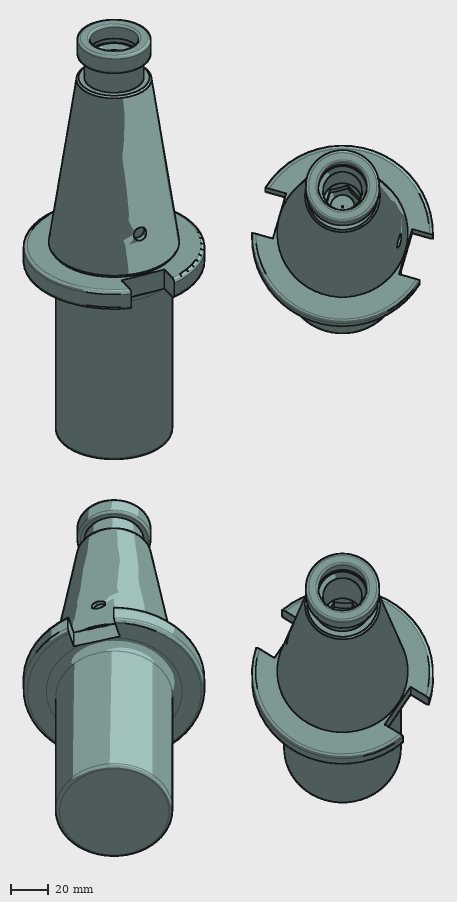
import cadquery as cq
import math


TAIL_TOP = 126.8
BODY_LENGTH = 120.0

GAUGE_DIAMETER = 69.85
TAPER_RATIO = 7 / 24
TAPER_LENGTH = 101.8
TAPER_OVERRUN = 1.5
TAPER_TOP_CHAMFER = 1.0

COLLAR_DIAMETER = 39.6
COLLAR_HEIGHT = 11.2
COLLAR_ROUND = 1.5
NECK_DIAMETER = 32.0

FLANGE_DIAMETER = 97.5
FLANGE_GAP = 3.2
FLANGE_HEIGHT = 12.0
FLANGE_ROUND = 2.0
RECESS_DIAMETER = 68.0

BODY_DIAMETER = 63.0
BODY_FILLET = 5.0
BODY_BOTTOM_ROUND = 2.0

SLOT_WIDTH = 25.7
SLOT_FLOOR_DISTANCE = 35.3

MOUTH_ROUND = 1.3
BORE_DIAMETER = 26.2
BORE_DEPTH = 8.5
UNDERCUT_DIAMETER = 28.0
UNDERCUT_WIDTH = 3.0
THREAD_DIAMETER = 21.0
THREAD_END_DEPTH = 45.0

HEX_ACROSS_FLATS = 17.0
HEX_DEPTH = 12.0
HEX_FLOOR_DIAMETER = 13.0
CENTRE_HOLE_DIAMETER = 1.0
CENTRE_HOLE_DEPTH = 3.0

SIDE_RECESS_DIAMETER = 7.5
SIDE_RECESS_HEIGHT = 20.7
SIDE_RECESS_FLOOR_DISTANCE = 29.0

flange_top = -FLANGE_GAP
flange_bottom = flange_top - FLANGE_HEIGHT
thread_end = TAIL_TOP - THREAD_END_DEPTH
hex_floor = thread_end - HEX_DEPTH

ARC_MID_OFFSET = 1 - 0.5**0.5


def revolve_about_z(profile):
    """Close an outline drawn in the XZ plane and turn it about the Z axis."""
    return profile.close().revolve(360, (0, 0, 0), (0, 1, 0))


def make_shank():
    """Revolve the flange, the recess, the taper, the neck and the collar."""
    gauge_radius = GAUGE_DIAMETER / 2
    taper_top_radius = gauge_radius - TAPER_RATIO * TAPER_LENGTH / 2
    chamfer_start = TAPER_LENGTH - TAPER_TOP_CHAMFER
    chamfer_start_radius = gauge_radius - TAPER_RATIO * chamfer_start / 2
    neck_radius = NECK_DIAMETER / 2
    collar_radius = COLLAR_DIAMETER / 2
    collar_bottom = TAIL_TOP - COLLAR_HEIGHT
    flange_radius = FLANGE_DIAMETER / 2
    recess_radius = RECESS_DIAMETER / 2
    flange_offset = FLANGE_ROUND * ARC_MID_OFFSET
    collar_offset = COLLAR_ROUND * ARC_MID_OFFSET
    profile = (
        cq.Workplane("XZ")
        .moveTo(0, flange_bottom)
        .lineTo(flange_radius - FLANGE_ROUND, flange_bottom)
        .threePointArc(
            (flange_radius - flange_offset, flange_bottom + flange_offset),
            (flange_radius, flange_bottom + FLANGE_ROUND),
        )
        .lineTo(flange_radius, flange_top - FLANGE_ROUND)
        .threePointArc(
            (flange_radius - flange_offset, flange_top - flange_offset),
            (flange_radius - FLANGE_ROUND, flange_top),
        )
        .lineTo(recess_radius, flange_top)
        .lineTo(recess_radius, -TAPER_OVERRUN)
        .lineTo(gauge_radius + TAPER_RATIO * TAPER_OVERRUN / 2, -TAPER_OVERRUN)
        .lineTo(chamfer_start_radius, chamfer_start)
        .lineTo(taper_top_radius - TAPER_TOP_CHAMFER, TAPER_LENGTH)
        .lineTo(neck_radius, TAPER_LENGTH)
        .lineTo(neck_radius, collar_bottom)
        .lineTo(collar_radius - COLLAR_ROUND, collar_bottom)
        .threePointArc(
            (collar_radius - collar_offset, collar_bottom + collar_offset),
            (collar_radius, collar_bottom + COLLAR_ROUND),
        )
        .lineTo(collar_radius, TAIL_TOP - COLLAR_ROUND)
        .threePointArc(
            (collar_radius - collar_offset, TAIL_TOP - collar_offset),
            (collar_radius - COLLAR_ROUND, TAIL_TOP),
        )
        .lineTo(0, TAIL_TOP)
    )
    return revolve_about_z(profile)


def make_body():
    """Revolve the body with its concave fillet under the flange."""
    radius = BODY_DIAMETER / 2
    fillet_offset = BODY_FILLET * ARC_MID_OFFSET
    round_offset = BODY_BOTTOM_ROUND * ARC_MID_OFFSET
    profile = (
        cq.Workplane("XZ")
        .moveTo(0, -BODY_LENGTH)
        .lineTo(radius - BODY_BOTTOM_ROUND, -BODY_LENGTH)
        .threePointArc(
            (radius - round_offset, -BODY_LENGTH + round_offset),
            (radius, -BODY_LENGTH + BODY_BOTTOM_ROUND),
        )
        .lineTo(radius, flange_bottom - BODY_FILLET)
        .threePointArc(
            (radius + fillet_offset, flange_bottom - fillet_offset),
            (radius + BODY_FILLET, flange_bottom),
        )
        .lineTo(0, flange_bottom)
    )
    return revolve_about_z(profile)


def make_slots():
    """Boxes on both sides that cut the driving slots through the flange and its fillet."""
    return (
        cq.Workplane("XY", origin=(0, 0, flange_bottom - BODY_FILLET))
        .pushPoints([(side * (SLOT_FLOOR_DISTANCE + FLANGE_DIAMETER / 2), 0) for side in (-1, 1)])
        .rect(FLANGE_DIAMETER, SLOT_WIDTH)
        .extrude(BODY_FILLET + FLANGE_HEIGHT)
    )


def make_bore():
    """Stepped bore with a rounded mouth, an undercut, a conical seat and a conical end."""
    bore_radius = BORE_DIAMETER / 2
    undercut_radius = UNDERCUT_DIAMETER / 2
    thread_radius = THREAD_DIAMETER / 2
    end_radius = HEX_ACROSS_FLATS / 2
    mouth_offset = MOUTH_ROUND * ARC_MID_OFFSET
    undercut_top = TAIL_TOP - BORE_DEPTH
    seat_top = undercut_top - UNDERCUT_WIDTH
    bore_end = thread_end - (thread_radius - end_radius)
    profile = (
        cq.Workplane("XZ")
        .moveTo(0, TAIL_TOP)
        .lineTo(bore_radius + MOUTH_ROUND, TAIL_TOP)
        .threePointArc(
            (bore_radius + mouth_offset, TAIL_TOP - mouth_offset),
            (bore_radius, TAIL_TOP - MOUTH_ROUND),
        )
        .lineTo(bore_radius, undercut_top)
        .lineTo(undercut_radius, undercut_top)
        .lineTo(undercut_radius, seat_top)
        .lineTo(bore_radius, seat_top)
        .lineTo(thread_radius, seat_top - (bore_radius - thread_radius))
        .lineTo(thread_radius, thread_end)
        .lineTo(end_radius, bore_end)
        .lineTo(0, bore_end)
    )
    return revolve_about_z(profile)


def make_hex_socket():
    """Hexagonal prism narrowed by a cone towards its flat floor, with a small centre hole."""
    corner_diameter = HEX_ACROSS_FLATS / math.cos(math.pi / 6)
    corner_radius = corner_diameter / 2
    floor_radius = HEX_FLOOR_DIAMETER / 2
    prism = (
        cq.Workplane("XY", origin=(0, 0, hex_floor))
        .transformed(rotate=(0, 0, 90))
        .polygon(6, corner_diameter)
        .extrude(HEX_DEPTH)
    )
    cone_profile = (
        cq.Workplane("XZ")
        .moveTo(0, hex_floor)
        .lineTo(floor_radius, hex_floor)
        .lineTo(corner_radius, hex_floor + corner_radius - floor_radius)
        .lineTo(corner_radius, thread_end)
        .lineTo(0, thread_end)
    )
    centre_hole = (
        cq.Workplane("XY", origin=(0, 0, hex_floor - CENTRE_HOLE_DEPTH))
        .circle(CENTRE_HOLE_DIAMETER / 2)
        .extrude(CENTRE_HOLE_DEPTH)
    )
    return prism.intersect(revolve_about_z(cone_profile)).union(centre_hole)


def make_side_recess():
    """Round pocket cut along X into the taper."""
    return (
        cq.Workplane("YZ", origin=(SIDE_RECESS_FLOOR_DISTANCE, 0, SIDE_RECESS_HEIGHT))
        .circle(SIDE_RECESS_DIAMETER / 2)
        .extrude(GAUGE_DIAMETER / 2 - SIDE_RECESS_FLOOR_DISTANCE)
    )


result = (
    make_shank()
    .union(make_body())
    .cut(make_slots())
    .cut(make_bore())
    .cut(make_hex_socket())
    .cut(make_side_recess())
)